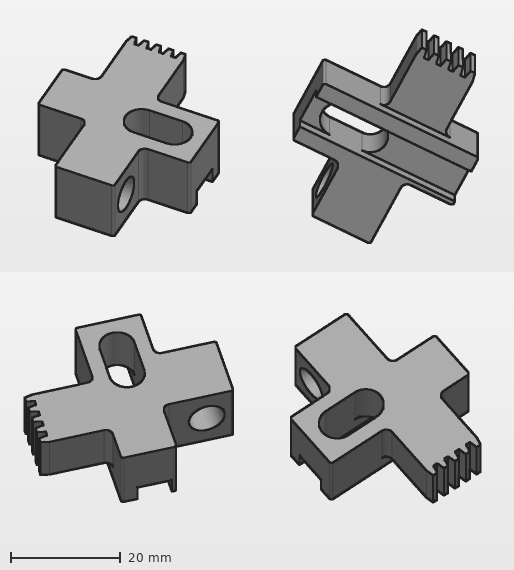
import cadquery as cq

width = 31.75
length = 37.13
height = 12.7

wing_top = 23.9
left_wing_bottom = 13.48
right_wing_bottom = 11.5
stem_left = 9.95
stem_right = 21.95
inner_radius = 1.3
corner_radius = 0.5

arm_left = 7.2
tooth_count = 5
tooth_pitch = 2.5
tooth_base = 1.65
tooth_tip = 0.93
tooth_height = 1.6
arm_width = (tooth_count - 1) * tooth_pitch + tooth_base
arm_right = arm_left + arm_width
tooth_root = length - tooth_height

slot_width = 6.5
slot_length = 13.15
slot_x = 22.3
slot_y = 17.65
step_height = 3.25
hole_diameter = 6.75
hole_y = 5.05


def box(x_min, x_max, y_min, y_max, z_max):
    """Upright box standing on the base plane."""
    return cq.Workplane("XY").box(
        x_max - x_min, y_max - y_min, z_max, centered=False
    ).translate((x_min, y_min, 0))


def cross_body():
    """Cross outline with rounded inner and outer vertical edges."""
    inner_corners = [
        (stem_right, right_wing_bottom),
        (arm_right, wing_top),
        (arm_left, wing_top),
        (stem_left, left_wing_bottom),
    ]
    outer_corners = [
        (stem_left, 0),
        (stem_right, 0),
        (width, right_wing_bottom),
        (width, wing_top),
        (0, wing_top),
        (0, left_wing_bottom),
    ]
    outline = [
        (stem_left, 0),
        (stem_right, 0),
        (stem_right, right_wing_bottom),
        (width, right_wing_bottom),
        (width, wing_top),
        (arm_right, wing_top),
        (arm_right, tooth_root),
        (arm_left, tooth_root),
        (arm_left, wing_top),
        (0, wing_top),
        (0, left_wing_bottom),
        (stem_left, left_wing_bottom),
    ]
    body = cq.Workplane("XY").polyline(outline).close().extrude(height)
    for corners, radius in ((inner_corners, inner_radius), (outer_corners, corner_radius)):
        for x, y in corners:
            edge = cq.selectors.NearestToPointSelector((x, y, height / 2))
            body = body.edges("|Z").edges(edge).fillet(radius)
    return body


def tooth(index):
    """One rack tooth with sloping flanks."""
    base_left = arm_left + index * tooth_pitch
    tip_left = base_left + (tooth_base - tooth_tip) / 2
    profile = [
        (base_left, tooth_root),
        (base_left + tooth_base, tooth_root),
        (tip_left + tooth_tip, length),
        (tip_left, length),
    ]
    return cq.Workplane("XY").polyline(profile).close().extrude(height)


result = cross_body()
for tooth_index in range(tooth_count):
    result = result.union(tooth(tooth_index))

result = result.cut(box(0, width, wing_top, length, step_height))

groove_start = slot_y - slot_width / 2
result = result.cut(box(0, width, groove_start, groove_start + slot_width, step_height))

slot = cq.Workplane("XY").center(slot_x, slot_y).slot2D(slot_length, slot_width).extrude(height)
result = result.cut(slot)

hole = cq.Workplane("YZ").center(hole_y, height / 2).circle(hole_diameter / 2).extrude(width)
result = result.cut(hole)